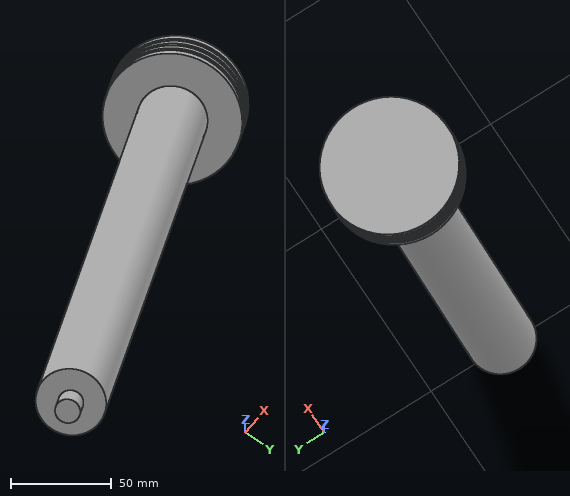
import cadquery as cq
import math

tilt = 9.0
overall_height = 436.5
head_diameter = 70.0
head_height = 25.5
rod_diameter = 35.5
pin_diameter = 12.5
pin_length = 12.5

groove_count = 3
groove_width = 3.0
groove_pitch = 6.5
groove_depth = 1.0

lean = math.radians(tilt)
rim_rise = (head_diameter + pin_diameter) / 2 * math.sin(lean)
total_length = (overall_height - rim_rise) / math.cos(lean)

rod_bottom = pin_length
head_bottom = total_length - head_height


def cylinder(diameter, bottom, top):
    """Round bar on the Z axis between two heights."""
    return cq.Workplane("XY").workplane(offset=bottom).circle(diameter / 2).extrude(top - bottom)


def ring_groove(centre):
    """Ring of material to remove from the rim of the head."""
    bottom = centre - groove_width / 2
    top = centre + groove_width / 2
    root_diameter = head_diameter - 2 * groove_depth
    outer = cylinder(head_diameter + 2 * groove_depth, bottom, top)
    return outer.cut(cylinder(root_diameter, bottom, top))


head = cylinder(head_diameter, head_bottom, total_length)
head_middle = head_bottom + head_height / 2
for index in range(groove_count):
    offset = (index - (groove_count - 1) / 2) * groove_pitch
    head = head.cut(ring_groove(head_middle + offset))

rod = cylinder(rod_diameter, rod_bottom, head_bottom)
pin = cylinder(pin_diameter, 0, rod_bottom)

piston = head.union(rod).union(pin)
result = piston.rotate((0, 0, 0), (1, 0, 0), -tilt)